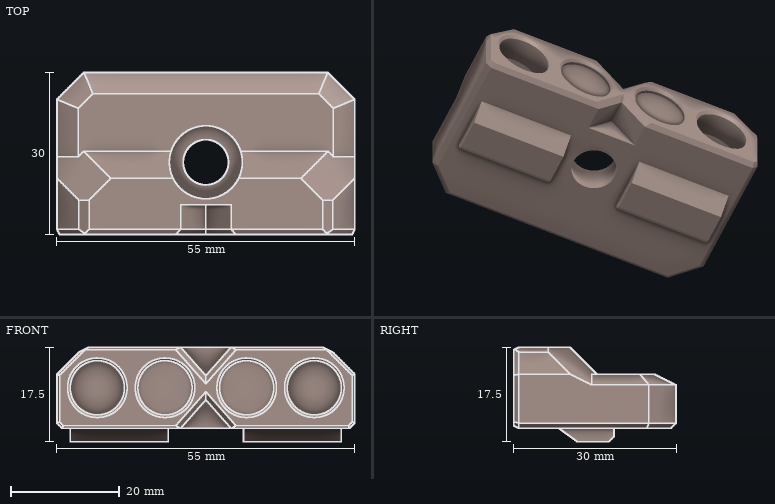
import cadquery as cq
import math

LENGTH = 55.0
DEPTH = 30.0
BODY_HEIGHT = 15.0
STEP_HEIGHT = 10.0
HALF_LENGTH = LENGTH / 2
RISE = BODY_HEIGHT - STEP_HEIGHT

REAR_CORNER = 5.0
STEP_BEVEL_DROP = 2.0
STEP_BEVEL_ANGLE = math.degrees(math.atan(2))
BOTTOM_BEVEL = 1.0
SHOULDER_BEVEL = 4.05
CREST_BEVEL_DROP = RISE - SHOULDER_BEVEL
CREST_BEVEL_RUN = 2 * CREST_BEVEL_DROP
FRONT_BEVEL_DEPTH = 1.0
FRONT_BEVEL_ANGLE = math.degrees(math.atan(0.5))

RAMP_TOP_Y = 10.4
RAMP_FOOT_Y = RAMP_TOP_Y + RISE
CORNER_CUT_X = 17.55
CORNER_CUT_SLOPE = 0.5

NOTCH_HALF_WIDTH = 4.7
NOTCH_HEIGHT = 5.3
NOTCH_DEPTH = 5.5
NOTCH_BEVEL = 1.0

SCREW_Y = 13.35
SCREW_DIAMETER = 8.3
COUNTERBORE_DIAMETER = 13.5
COUNTERBORE_FLOOR = 6.0

POCKET_DIAMETER = 10.0
POCKET_CHAMFER = 0.5
POCKET_Z = BODY_HEIGHT / 2
INNER_POCKET_X = 7.55
OUTER_POCKET_X = 20.0
INNER_POCKET_DEPTH = 1.0
OUTER_POCKET_DEPTH = 5.0

FOOT_INNER_X = 6.95
FOOT_LENGTH = 18.1
FOOT_HEIGHT = 2.5
FOOT_FRONT_Y = 8.35
FOOT_REAR_Y = 18.55
FOOT_FRONT_RUN = 3.4
FOOT_REAR_CHAMFER = 1.0

CUT_SIZE = 2 * LENGTH


def front_plane(y):
    """Sketch plane facing -Y at depth y, with local X and Y along X and Z."""
    return cq.Workplane("XZ", origin=(0, y, 0))


def rear_step():
    """Low slab with cut rear corners and bevelled edges, reaching past the front face."""
    overhang = 2 * STEP_BEVEL_DROP
    outline = [
        (-HALF_LENGTH, -overhang),
        (HALF_LENGTH, -overhang),
        (HALF_LENGTH, DEPTH - REAR_CORNER),
        (HALF_LENGTH - REAR_CORNER, DEPTH),
        (REAR_CORNER - HALF_LENGTH, DEPTH),
        (-HALF_LENGTH, DEPTH - REAR_CORNER),
    ]
    wall_top = STEP_HEIGHT - STEP_BEVEL_DROP

    def slab(z, height, angle=0):
        return cq.Workplane("XY", origin=(0, 0, z)).polyline(outline).close().extrude(height, taper=angle)

    wall = slab(BOTTOM_BEVEL, wall_top - BOTTOM_BEVEL)
    top = slab(wall_top, STEP_BEVEL_DROP, STEP_BEVEL_ANGLE)
    bottom = slab(BOTTOM_BEVEL, -BOTTOM_BEVEL, 45)
    return wall.union(top).union(bottom)


def front_block():
    """High block with a rear ramp whose two ends are cut off diagonally."""
    block = (
        cq.Workplane("YZ")
        .polyline([
            (0, 0),
            (RAMP_FOOT_Y, 0),
            (RAMP_FOOT_Y, STEP_HEIGHT),
            (RAMP_TOP_Y, BODY_HEIGHT),
            (0, BODY_HEIGHT),
        ])
        .close()
        .extrude(HALF_LENGTH, both=True)
    )
    for side in (-1, 1):
        cut_plane = cq.Plane(
            origin=(side * CORNER_CUT_X, RAMP_TOP_Y, BODY_HEIGHT),
            xDir=(side, -1, 0),
            normal=(side * CORNER_CUT_SLOPE, CORNER_CUT_SLOPE, 1),
        )
        block = block.cut(cq.Workplane(cut_plane).rect(CUT_SIZE, CUT_SIZE).extrude(CUT_SIZE))
    return block


def mirrored_outline(right_side):
    """Close a right-hand half outline with its mirror image about X = 0."""
    return right_side + [(-x, z) for x, z in reversed(right_side)]


def front_envelope():
    """Prism of the front outline, narrowed at the front face and eased at the crest."""
    shoulder_x = HALF_LENGTH - SHOULDER_BEVEL
    outline = mirrored_outline([
        (HALF_LENGTH - BOTTOM_BEVEL, 0),
        (HALF_LENGTH, BOTTOM_BEVEL),
        (HALF_LENGTH, STEP_HEIGHT),
        (HALF_LENGTH - RISE, BODY_HEIGHT),
    ])
    crest_outline = mirrored_outline([
        (HALF_LENGTH, 0),
        (HALF_LENGTH, STEP_HEIGHT),
        (shoulder_x, STEP_HEIGHT + SHOULDER_BEVEL),
        (shoulder_x - CREST_BEVEL_RUN, BODY_HEIGHT),
    ])
    section = front_plane(FRONT_BEVEL_DEPTH).polyline(outline).close()
    nose = section.extrude(FRONT_BEVEL_DEPTH, taper=FRONT_BEVEL_ANGLE)
    main = front_plane(DEPTH).polyline(outline).close().extrude(DEPTH - FRONT_BEVEL_DEPTH)
    crest = front_plane(DEPTH).polyline(crest_outline).close().extrude(DEPTH)
    return main.union(nose).intersect(crest)


def notch(edge_z, direction):
    """V-shaped cutter opening at edge_z, flared where it meets the front face."""

    def triangle(half_width, height):
        return [(-half_width, edge_z), (half_width, edge_z), (0, edge_z + direction * height)]

    side_length = math.hypot(NOTCH_HALF_WIDTH, NOTCH_HEIGHT)
    flared_half_width = NOTCH_HALF_WIDTH + NOTCH_BEVEL * side_length / NOTCH_HEIGHT
    flared_height = NOTCH_HEIGHT + NOTCH_BEVEL * side_length / NOTCH_HALF_WIDTH
    outline = triangle(NOTCH_HALF_WIDTH, NOTCH_HEIGHT)
    straight = front_plane(NOTCH_DEPTH).polyline(outline).close().extrude(NOTCH_DEPTH)
    flare = (
        front_plane(NOTCH_BEVEL)
        .polyline(outline)
        .close()
        .workplane(offset=NOTCH_BEVEL)
        .polyline(triangle(flared_half_width, flared_height))
        .close()
        .loft(ruled=True)
    )
    return straight.union(flare)


def pocket(x, depth):
    """Round cutter entering the front face, with a chamfered mouth."""
    radius = POCKET_DIAMETER / 2
    return (
        cq.Workplane("XY")
        .polyline([
            (0, 0),
            (radius + POCKET_CHAMFER, 0),
            (radius, POCKET_CHAMFER),
            (radius, depth),
            (0, depth),
        ])
        .close()
        .revolve(360, (0, 0), (0, 1))
        .translate((x, 0, POCKET_Z))
    )


def screw_hole():
    """Vertical through hole with a deep counterbore from above."""
    bore = cq.Workplane("XY").center(0, SCREW_Y).circle(SCREW_DIAMETER / 2).extrude(BODY_HEIGHT)
    counterbore = (
        cq.Workplane("XY", origin=(0, SCREW_Y, COUNTERBORE_FLOOR))
        .circle(COUNTERBORE_DIAMETER / 2)
        .extrude(BODY_HEIGHT - COUNTERBORE_FLOOR)
    )
    return bore.union(counterbore)


def foot(start_x):
    """Bar under the body with a sloped front and a chamfered rear edge."""
    return (
        cq.Workplane("YZ", origin=(start_x, 0, 0))
        .polyline([
            (FOOT_FRONT_Y, 0),
            (FOOT_FRONT_Y + FOOT_FRONT_RUN, -FOOT_HEIGHT),
            (FOOT_REAR_Y - FOOT_REAR_CHAMFER, -FOOT_HEIGHT),
            (FOOT_REAR_Y, FOOT_REAR_CHAMFER - FOOT_HEIGHT),
            (FOOT_REAR_Y, 0),
        ])
        .close()
        .extrude(FOOT_LENGTH)
    )


result = rear_step().union(front_block()).intersect(front_envelope())
result = result.cut(notch(BODY_HEIGHT, -1)).cut(notch(0, 1)).cut(screw_hole())
for side in (-1, 1):
    result = result.cut(pocket(side * INNER_POCKET_X, INNER_POCKET_DEPTH))
    result = result.cut(pocket(side * OUTER_POCKET_X, OUTER_POCKET_DEPTH))
for foot_start in (-FOOT_INNER_X - FOOT_LENGTH, FOOT_INNER_X):
    result = result.union(foot(foot_start))